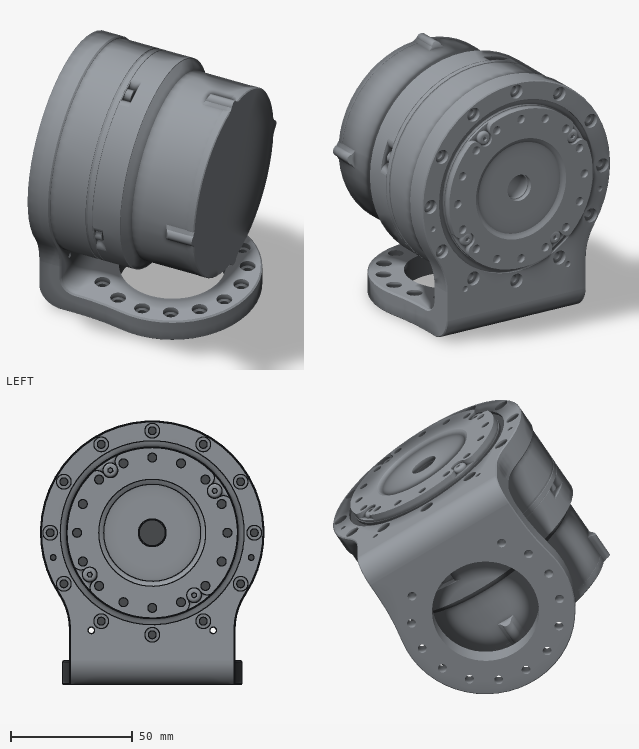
import cadquery as cq
import math


overall_height = 108.5
plate_thickness = 10.0
plate_radius = 46.0
side_half_width = 34.1
plate_side_top = -39.7
foot_bottom = plate_radius - overall_height
bend_end = 16.2
bend_outer_radius = 9.8
foot_radius = 37.0
foot_center = 45.0
front_rim_chamfer = 0.4
back_rim_chamfer = 0.7

bolt_circle = 42.0
plate_hole_count = 12
plate_hole_radius = 1.6
plate_hole_depth = 13.0
plate_bore_radius = 3.0
plate_bore_depth = 2.4
dowel_radius = 1.2
dowel_angle = 14.0
pin_radius = 1.3
pin_offset_y = 25.1
pin_z = -40.1

pattern_radius = 30.9
pattern_hole_count = 16
pattern_hole_radius = 1.8
foot_bore_radius = 3.3
foot_bore_depth = 2.4
foot_hole_count = 13
pilot_radius = 22.0

disc_front = -3.5
disc_radius = 35.0
rim_radius = 35.4
annular_gap_radius = 37.9
annular_gap_depth = 1.3
disc_hole_depth = 6.5
recess_floor_radius = 20.0
recess_depth = 1.3
recess_floor = disc_front + recess_depth
bore_radius = 5.3
bore_mouth_radius = 5.8
bore_mouth_depth = 2.2
bore_depth = 16.3

housing_radius = 45.1
joint_x = 25.8
joint_width = 1.0
joint_depth = 0.3
ring_end = 29.2
narrow_joint_width = 0.3
taper_start = 41.3
taper_end = 44.7
taper_radius = 44.7
rear_radius = 40.6
cap_start = 69.5
cap_step = 0.1
cap_radius = rear_radius + cap_step
rear_end = 72.7
rear_chamfer = 0.4

lug_start = 60.1
lug_top_start = 61.8
lug_height = 43.1
lug_shoulder = 41.5
lug_crest_half_width = 2.3
lug_base_half_width = 3.9
lug_base = math.sqrt(rear_radius**2 - lug_base_half_width**2)
lug_root = 39.1

disc_screw_radius = 3.0
disc_screw_angle = 56.2
disc_pocket_flare = 6.5
disc_pocket_floor = -1.0
disc_screw_front = -2.8
disc_screw_round = 1.3
socket_width = 2.2
socket_depth = 1.1
window_screw_radius = 2.8
window_screw_circle = 41.5
window_angle = 15.0
window_flare = 7.3
window_floor = 41.0
window_end = 33.5
window_screw_end = 32.0

pocket_clearance = 1.1

quarter_turns = [0, 90, 180, 270]


def cylinder(radius, start, end, y=0.0, z=0.0):
    """Cylinder along X between two x positions."""
    return cq.Workplane("YZ", origin=(start, y, z)).circle(radius).extrude(end - start)


def tube(outer_radius, inner_radius, start, end):
    """Ring around the drive axis between two x positions."""
    return cylinder(outer_radius, start, end).cut(cylinder(inner_radius, start, end))


def polar(radius, angle):
    """Plane coordinates of a point given by radius and angle in degrees."""
    return (radius * math.cos(math.radians(angle)), radius * math.sin(math.radians(angle)))


def turn(solid, angle):
    """Turn about the drive axis."""
    return solid.rotate((0, 0, 0), (1, 0, 0), angle)


def flange(plane, radius, straight_end, bottom, thickness):
    """Round flange whose straight sides run into it through tangent concave arcs."""
    blend = (straight_end**2 + side_half_width**2 - radius**2) / (2 * (radius - side_half_width))
    blend_x = side_half_width + blend
    touch = radius / (radius + blend)
    touch_x = blend_x * touch
    touch_y = straight_end * touch
    half_sweep = math.atan2(-straight_end, blend_x) / 2
    middle_x = blend_x - blend * math.cos(half_sweep)
    middle_y = straight_end + blend * math.sin(half_sweep)
    outline = cq.Workplane(plane).moveTo(-side_half_width, bottom).lineTo(side_half_width, bottom)
    if bottom < straight_end:
        outline = outline.lineTo(side_half_width, straight_end)
    outline = (
        outline.threePointArc((middle_x, middle_y), (touch_x, touch_y))
        .threePointArc((0, radius), (-touch_x, touch_y))
        .threePointArc((-middle_x, middle_y), (-side_half_width, straight_end))
    )
    return outline.close().extrude(thickness)


def make_bracket():
    foot_top = foot_bottom + plate_thickness
    foot_end = foot_center + foot_radius
    angle_section = (
        cq.Workplane("XZ")
        .polyline([
            (0, foot_bottom), (foot_end, foot_bottom), (foot_end, foot_top),
            (plate_thickness, foot_top), (plate_thickness, plate_radius), (0, plate_radius),
        ])
        .close()
        .extrude(plate_radius, both=True)
    )
    outer_corner = cq.NearestToPointSelector((0, 0, foot_bottom))
    angle_section = angle_section.edges(outer_corner).fillet(bend_outer_radius)
    inner_corner = cq.NearestToPointSelector((plate_thickness, 0, foot_top))
    angle_section = angle_section.edges(inner_corner).fillet(bend_end - plate_thickness)

    plate_prism = flange(cq.Plane.YZ(), plate_radius, plate_side_top, foot_bottom, bend_end)
    foot_plane = cq.Plane(origin=(foot_center, 0, foot_bottom), xDir=(0, -1, 0), normal=(0, 0, 1))
    foot_straight_end = bend_end - foot_center
    foot_prism = flange(foot_plane, foot_radius, foot_straight_end, foot_straight_end, plate_thickness)
    bracket = angle_section.intersect(plate_prism).union(foot_prism)
    bracket = bracket.edges("%CIRCLE").edges(">Z").edges(">X").chamfer(back_rim_chamfer)
    bracket = bracket.faces("<X").edges("%CIRCLE").edges(">Z").chamfer(front_rim_chamfer)

    opening = cq.Workplane(foot_plane).circle(pilot_radius).extrude(plate_thickness)
    pitch = 360 / pattern_hole_count
    first_angle = 90 - pitch * (foot_hole_count - 1) / 2
    points = [polar(pattern_radius, first_angle + i * pitch) for i in range(foot_hole_count)]
    holes = cq.Workplane(foot_plane).pushPoints(points).circle(pattern_hole_radius).extrude(plate_thickness)
    bores = (
        cq.Workplane(foot_plane)
        .workplane(offset=plate_thickness - foot_bore_depth)
        .pushPoints(points)
        .circle(foot_bore_radius)
        .extrude(foot_bore_depth)
    )
    return bracket.cut(opening).cut(holes).cut(bores)


def make_housing():
    """Turned body: output disc, main barrel with a taper, and the narrower rear barrel with its end cap."""
    return (
        cq.Workplane("XY")
        .polyline([
            (disc_front, 0), (disc_front, disc_radius), (0, disc_radius),
            (0, housing_radius), (taper_start, housing_radius),
            (taper_start, taper_radius), (taper_end, rear_radius), (cap_start, rear_radius),
            (cap_start, cap_radius), (rear_end - rear_chamfer, cap_radius),
            (rear_end, cap_radius - rear_chamfer), (rear_end, 0),
        ])
        .close()
        .revolve(360, (0, 0, 0), (1, 0, 0))
    )


def make_lug():
    """Lug on top of the rear barrel: round crest, sloping flanks and a slanted front end."""
    lug = (
        cq.Workplane("YZ", origin=(lug_start, 0, 0))
        .moveTo(-lug_base_half_width, lug_root)
        .lineTo(-lug_base_half_width, lug_base)
        .lineTo(-lug_crest_half_width, lug_shoulder)
        .threePointArc((0, lug_height), (lug_crest_half_width, lug_shoulder))
        .lineTo(lug_base_half_width, lug_base)
        .lineTo(lug_base_half_width, lug_root)
        .close()
        .extrude(rear_end - lug_start)
    )
    slant = (
        cq.Workplane("XZ")
        .polyline([(lug_start, lug_base), (lug_top_start, lug_height), (lug_start, lug_height)])
        .close()
        .extrude(lug_base_half_width, both=True)
    )
    return lug.cut(slant)


def flared_pocket(half_width, floor, flare, rim, start, end):
    """Pocket at the top of a barrel, between two x positions, with convex walls flaring out to the rim."""
    rim_height = math.sqrt(rim**2 - flare**2)
    flare_middle = (
        half_width + (flare - half_width) * (1 - math.sqrt(0.5)),
        floor + (rim_height - floor) * math.sqrt(0.5),
    )
    return (
        cq.Workplane("YZ", origin=(start, 0, 0))
        .moveTo(half_width, floor)
        .threePointArc(flare_middle, (flare, rim_height))
        .lineTo(flare, rim + pocket_clearance)
        .lineTo(-flare, rim + pocket_clearance)
        .lineTo(-flare, rim_height)
        .threePointArc((-flare_middle[0], flare_middle[1]), (-half_width, floor))
        .close()
        .extrude(end - start)
    )


def make_disc_screw():
    """Domed screw head with a hexagon socket, facing -X."""
    head = cylinder(disc_screw_radius, disc_screw_front, disc_pocket_floor, z=pattern_radius)
    socket = (
        cq.Workplane("YZ", origin=(disc_screw_front, 0, pattern_radius))
        .polygon(6, socket_width)
        .extrude(socket_depth)
    )
    return head.faces("<X").edges().fillet(disc_screw_round).cut(socket)


def cut_joint_grooves(body):
    narrow_joint_x = ring_end - narrow_joint_width
    for start, width in [(joint_x, joint_width), (narrow_joint_x, narrow_joint_width)]:
        body = body.cut(tube(housing_radius, housing_radius - joint_depth, start, start + width))
    return body


def add_window_screws(body):
    window = flared_pocket(
        window_screw_radius, window_floor, window_flare, housing_radius, ring_end, window_end
    )
    screw = cylinder(window_screw_radius, ring_end, window_screw_end, z=window_screw_circle)
    for angle in quarter_turns:
        body = body.cut(turn(window, angle + window_angle))
        body = body.union(turn(screw, angle + window_angle))
    return body


def add_disc_screws(body):
    pocket = flared_pocket(
        disc_screw_radius, pattern_radius, disc_pocket_flare, disc_radius, disc_front, disc_pocket_floor
    )
    seat = cylinder(disc_screw_radius, disc_front, disc_pocket_floor, z=pattern_radius)
    pocket = pocket.union(seat)
    screw = make_disc_screw()
    for angle in quarter_turns:
        body = body.cut(turn(pocket, angle + disc_screw_angle))
        body = body.union(turn(screw, angle + disc_screw_angle))
    return body


def cut_disc_recess(body):
    recess = (
        cq.Workplane("XY")
        .polyline([
            (disc_front, 0), (disc_front, pilot_radius), (recess_floor, recess_floor_radius),
            (recess_floor, bore_mouth_radius), (recess_floor + bore_mouth_depth, bore_mouth_radius),
            (recess_floor + bore_mouth_depth, bore_radius),
            (recess_floor + bore_depth, bore_radius), (recess_floor + bore_depth, 0),
        ])
        .close()
        .revolve(360, (0, 0, 0), (1, 0, 0))
    )
    return body.cut(recess)


def cut_disc_holes(body):
    bottom = disc_front + disc_hole_depth
    for i in range(pattern_hole_count):
        y, z = polar(pattern_radius, i * 360 / pattern_hole_count)
        body = body.cut(cylinder(pattern_hole_radius, disc_front, bottom, y, z))
    return body


def cut_plate_holes(body):
    for i in range(plate_hole_count):
        y, z = polar(bolt_circle, i * 360 / plate_hole_count)
        body = body.cut(cylinder(plate_bore_radius, 0, plate_bore_depth, y, z))
        body = body.cut(cylinder(plate_hole_radius, 0, plate_hole_depth, y, z))
    for side in (-1, 1):
        y, z = polar(bolt_circle, -dowel_angle)
        body = body.cut(cylinder(dowel_radius, 0, plate_thickness, side * y, z))
        body = body.cut(cylinder(pin_radius, 0, plate_thickness, side * pin_offset_y, pin_z))
    return body


body = make_bracket().union(make_housing())
lug = make_lug()
for angle in quarter_turns:
    body = body.union(turn(lug, angle))
body = cut_joint_grooves(body)
body = body.cut(tube(annular_gap_radius, rim_radius, 0, annular_gap_depth))
body = add_window_screws(body)
body = cut_disc_recess(body)
body = add_disc_screws(body)
body = cut_disc_holes(body)
result = cut_plate_holes(body)